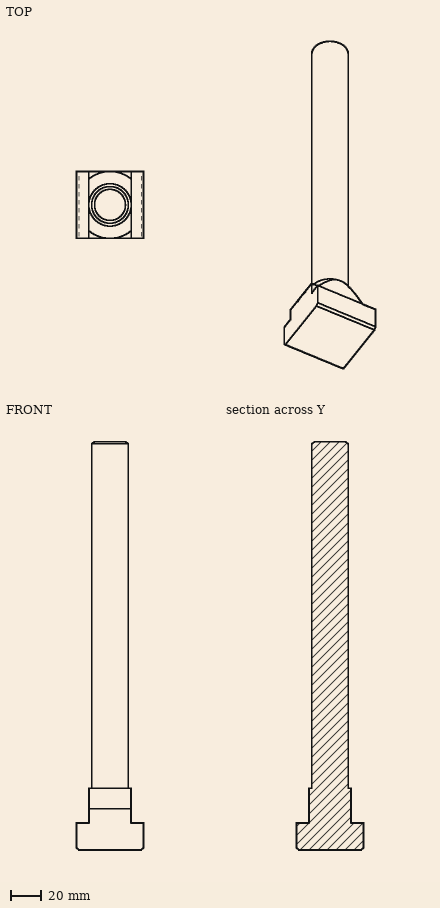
import cadquery as cq

total_height = 268.0
head_size = 44.0

flange_height = 18.0
neck_width = 28.0
neck_top = 27.0
base_chamfer = 1.5

shoulder_top = 40.7
shoulder_base_radius = head_size / 2
shoulder_top_radius = neck_width / 2

shank_diameter = 24.0
tip_chamfer_height = 1.3
tip_chamfer_width = 2.0


def make_flange():
    """Square foot, chamfered along the two bottom edges parallel to Y."""
    flange = cq.Workplane("XY").box(head_size, head_size, flange_height, centered=(True, True, False))
    return flange.faces("<Z").edges("|Y").chamfer(base_chamfer)


def make_neck(height):
    """Block that runs the full depth of the head but is narrower in X."""
    return cq.Workplane("XY").box(neck_width, head_size, height, centered=(True, True, False))


def make_shoulder():
    """Cone trimmed flush with the sides of the neck."""
    cone = cq.Workplane("XY").add(
        cq.Solid.makeCone(
            shoulder_base_radius,
            shoulder_top_radius,
            shoulder_top - neck_top,
            pnt=cq.Vector(0, 0, neck_top),
        )
    )
    return cone.intersect(make_neck(shoulder_top))


def make_shank():
    """Round rod rising from inside the head, with a chamfered tip."""
    shank = cq.Workplane("XY").workplane(offset=flange_height)
    shank = shank.circle(shank_diameter / 2).extrude(total_height - flange_height)
    return shank.faces(">Z").chamfer(tip_chamfer_height, tip_chamfer_width)


head = make_flange().union(make_neck(neck_top))
result = head.union(make_shoulder()).union(make_shank())